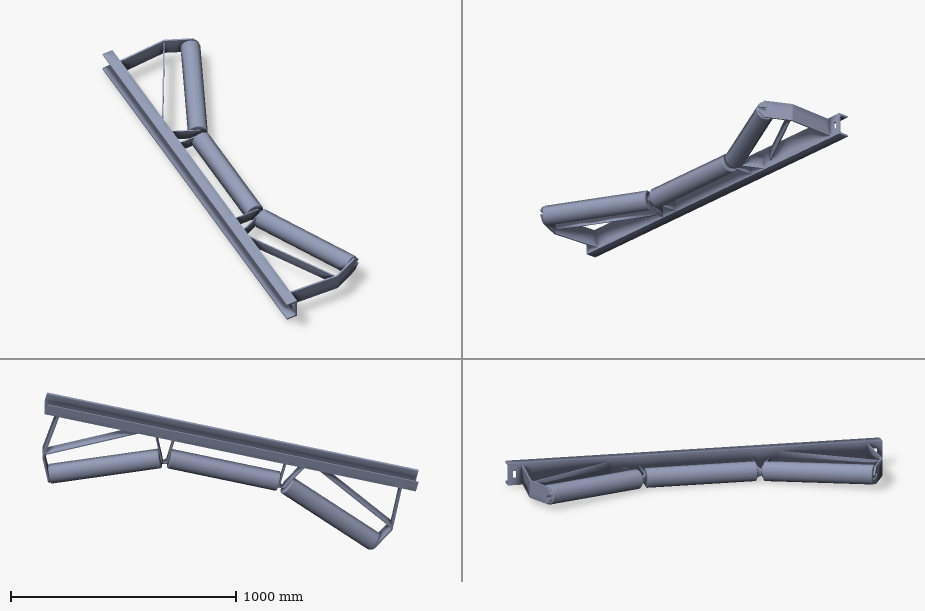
import cadquery as cq
import math


CHANNEL_LENGTH = 1700.0
CHANNEL_HEIGHT = 100.0
CHANNEL_DEPTH = 51.0
WEB_THICKNESS = 7.0
FLANGE_THICKNESS = 8.0
ROOT_RADIUS = 8.0
TOE_RADIUS = 5.0
BOLT_SLOT_X = 820.0
BOLT_SLOT_WIDTH = 17.0
BOLT_SLOT_HEIGHT = 32.0

DRUM_LENGTH = 500.0
DRUM_DIAMETER = 88.0
DRUM_EDGE_RADIUS = 5.0
SHAFT_DIAMETER = 15.0
END_GAP = 3.0
CENTER_AXIS_Y = 115.0
INNER_AXIS_Z = -19.0
TROUGH_ANGLE = 25.0
FORWARD_TILT = 2.0
WING_AXIS_ALONG_LEG = 135.0

INNER_PLATE = 5.0
INNER_WIDTH = 51.0
INNER_FOOT_X = 340.0
INNER_LEG_LENGTH = 156.0
INNER_TIP_CHAMFER = 14.0

OUTER_PLATE = 7.6
OUTER_WIDTH = 80.0
OUTER_FOOT_X = 784.0
OUTER_TIP_Y = 374.0
OUTER_TIP_CHAMFER = 27.0
KNEE_Y = 233.0
KNEE_RADIUS = 20.0

BRACE_PLATE = 6.0
BRACE_WIDTH = 51.0
BRACE_CENTER_Z = 5.0
BRACE_FOOT_X = 388.0

TROUGH_RADIANS = math.radians(TROUGH_ANGLE)
SIN_TROUGH = math.sin(TROUGH_RADIANS)
COS_TROUGH = math.cos(TROUGH_RADIANS)
WING_FRAME = cq.Plane(
    origin=(INNER_FOOT_X, 0, 0),
    xDir=(-SIN_TROUGH, COS_TROUGH, 0),
    normal=(COS_TROUGH, SIN_TROUGH, 0),
)

TILT_RADIANS = math.radians(FORWARD_TILT)
WING_ROLLER_FRAME = cq.Plane(
    origin=WING_FRAME.toWorldCoords((WING_AXIS_ALONG_LEG, INNER_AXIS_Z, INNER_PLATE / 2 + END_GAP)),
    xDir=WING_FRAME.xDir,
    normal=WING_FRAME.zDir * math.cos(TILT_RADIANS) + WING_FRAME.yDir * math.sin(TILT_RADIANS),
)

CENTER_LEG_X = DRUM_LENGTH / 2 + END_GAP + INNER_PLATE / 2
OUTER_PLATE_OFFSET = INNER_PLATE / 2 + 2 * END_GAP + DRUM_LENGTH + OUTER_PLATE / 2


def wing_point(along_leg, outward):
    """Global (x, y) of a point given in the wing frame."""
    point = WING_FRAME.toWorldCoords((along_leg, 0, outward))
    return point.x, point.y


def outer_plate_point(height):
    """Global (x, y) of the point of the outer plate's mid-plane at the given Y."""
    along_plate = (height - OUTER_PLATE_OFFSET * SIN_TROUGH) / COS_TROUGH
    return wing_point(along_plate, OUTER_PLATE_OFFSET)


KNEE = outer_plate_point(KNEE_Y)


def point_below_face(foot_x, upper_point, depth):
    """Extend the line from upper_point through (foot_x, 0) to the given depth below the face."""
    x, y = upper_point
    return foot_x - (x - foot_x) * depth / y, -depth


def folded_strip(path, thickness, width, center_z=0):
    """Strip whose centreline in XY follows path, with mitred folds; its width is along Z."""
    directions = []
    for (x0, y0), (x1, y1) in zip(path, path[1:]):
        length = math.hypot(x1 - x0, y1 - y0)
        directions.append(((x1 - x0) / length, (y1 - y0) / length))
    incoming = [directions[0]] + directions
    outgoing = directions + [directions[-1]]
    left_side = []
    right_side = []
    for (x, y), (ax, ay), (bx, by) in zip(path, incoming, outgoing):
        mitre = thickness / 2 / (1 + ax * bx + ay * by)
        shift_x = -(ay + by) * mitre
        shift_y = (ax + bx) * mitre
        left_side.append((x + shift_x, y + shift_y))
        right_side.append((x - shift_x, y - shift_y))
    outline = cq.Workplane("XY", origin=(0, 0, center_z)).polyline(left_side + right_side[::-1]).close()
    return outline.extrude(width / 2, both=True)


def trim_at_channel(body):
    """Cut off whatever lies below the mounting face of the channel."""
    below = cq.Workplane("XY").box(CHANNEL_LENGTH, CHANNEL_DEPTH, CHANNEL_HEIGHT)
    return body.cut(below.translate((0, -CHANNEL_DEPTH / 2, 0)))


def chamfer_tip(body, plane, tip, width, chamfer, reach):
    """Cut both corners off a strip that ends at x = tip of the plane and is centred on its x axis."""
    for side in (1, -1):
        edge = side * width / 2
        corner = (
            cq.Workplane(plane)
            .polyline([
                (tip - chamfer, edge),
                (tip + chamfer, edge),
                (tip + chamfer, edge - side * 2 * chamfer),
            ])
            .close()
            .extrude(reach, both=True)
        )
        body = body.cut(corner)
    return body


def make_channel():
    half = CHANNEL_HEIGHT / 2
    inner = half - FLANGE_THICKNESS
    half_length = CHANNEL_LENGTH / 2
    channel = (
        cq.Workplane("YZ")
        .polyline([
            (0, -half), (0, half),
            (-CHANNEL_DEPTH, half), (-CHANNEL_DEPTH, inner),
            (-WEB_THICKNESS, inner), (-WEB_THICKNESS, -inner),
            (-CHANNEL_DEPTH, -inner), (-CHANNEL_DEPTH, -half),
        ])
        .close()
        .extrude(half_length, both=True)
    )

    for edge_y, radius in ((-WEB_THICKNESS, ROOT_RADIUS), (-CHANNEL_DEPTH, TOE_RADIUS)):
        for edge_z in (inner, -inner):
            edge = cq.selectors.NearestToPointSelector((0, edge_y, edge_z))
            channel = channel.edges("|X").edges(edge).fillet(radius)

    bolt_slots = (
        cq.Workplane("XZ")
        .pushPoints([(-BOLT_SLOT_X, 0), (BOLT_SLOT_X, 0)])
        .rect(BOLT_SLOT_WIDTH, BOLT_SLOT_HEIGHT)
        .extrude(WEB_THICKNESS)
    )
    return channel.cut(bolt_slots)


def make_roller(frame, inner_plate, outer_plate):
    """Drum and shaft in one; the drum starts at the frame origin, the shaft ends pass through the plates."""
    inner_reach = END_GAP + inner_plate
    outer_reach = END_GAP + outer_plate
    drum = cq.Workplane(frame).circle(DRUM_DIAMETER / 2).extrude(DRUM_LENGTH)
    drum = drum.edges("%CIRCLE").fillet(DRUM_EDGE_RADIUS)
    shaft = (
        cq.Workplane(frame)
        .workplane(offset=-inner_reach)
        .circle(SHAFT_DIAMETER / 2)
        .extrude(inner_reach + DRUM_LENGTH + outer_reach)
    )
    return drum.union(shaft)


def make_center_roller():
    frame = cq.Plane(
        origin=(-DRUM_LENGTH / 2, CENTER_AXIS_Y, INNER_AXIS_Z),
        xDir=(0, 0, 1),
        normal=(1, 0, 0),
    )
    return make_roller(frame, INNER_PLATE, INNER_PLATE)


def make_inner_bracket(center_roller, wing_roller):
    """Folded strip with an upright leg at the centre roller and a slanted leg at the wing roller."""
    apex_x, apex_y = wing_point(INNER_LEG_LENGTH, 0)
    shoulder_y = apex_y - (apex_x - CENTER_LEG_X) * math.tan(TROUGH_RADIANS)
    path = [
        wing_point(-INNER_PLATE, 0),
        (apex_x, apex_y),
        (CENTER_LEG_X, shoulder_y),
        (CENTER_LEG_X, 0),
    ]
    bracket = trim_at_channel(folded_strip(path, INNER_PLATE, INNER_WIDTH, INNER_AXIS_Z))
    tip_plane = cq.Plane(origin=(INNER_FOOT_X, 0, INNER_AXIS_Z), xDir=(0, 1, 0), normal=(1, 0, 0))
    bracket = chamfer_tip(bracket, tip_plane, apex_y, INNER_WIDTH, INNER_TIP_CHAMFER, INNER_FOOT_X)
    return bracket.cut(center_roller).cut(wing_roller)


def make_outer_bracket(wing_roller):
    """Post bent at a knee, so that its upper part stands square to the wing."""
    tip = outer_plate_point(OUTER_TIP_Y)
    foot = point_below_face(OUTER_FOOT_X, KNEE, OUTER_PLATE)
    bracket = trim_at_channel(folded_strip([foot, KNEE, tip], OUTER_PLATE, OUTER_WIDTH))

    knee_x, knee_y = KNEE
    for shift, radius in ((OUTER_PLATE, KNEE_RADIUS), (-OUTER_PLATE, KNEE_RADIUS - OUTER_PLATE)):
        edge = cq.selectors.NearestToPointSelector((knee_x + shift, knee_y, 0))
        bracket = bracket.edges("|Z").edges(edge).fillet(radius)

    tip_along_plate = WING_FRAME.toLocalCoords(cq.Vector(*tip, 0)).x
    tip_plane = cq.Plane(
        origin=WING_FRAME.toWorldCoords((0, 0, OUTER_PLATE_OFFSET)),
        xDir=WING_FRAME.xDir,
        normal=WING_FRAME.zDir,
    )
    bracket = chamfer_tip(
        bracket, tip_plane, tip_along_plate, OUTER_WIDTH, OUTER_TIP_CHAMFER, OUTER_PLATE
    )

    slot_length = 2 * (tip_along_plate - WING_AXIS_ALONG_LEG)
    slot = (
        cq.Workplane(WING_ROLLER_FRAME)
        .workplane(offset=DRUM_LENGTH)
        .center(slot_length / 2, 0)
        .rect(slot_length, SHAFT_DIAMETER)
        .extrude(END_GAP + 2 * OUTER_PLATE)
    )
    return bracket.cut(slot).cut(wing_roller)


def make_brace(outer_bracket):
    """Diagonal strip from the knee of the outer bracket down to the channel."""
    foot = point_below_face(BRACE_FOOT_X, KNEE, BRACE_PLATE)
    brace = folded_strip([KNEE, foot], BRACE_PLATE, BRACE_WIDTH, BRACE_CENTER_Z)
    return trim_at_channel(brace).cut(outer_bracket)


channel = make_channel()
center_roller = make_center_roller()
wing_roller = make_roller(WING_ROLLER_FRAME, INNER_PLATE, OUTER_PLATE)
inner_bracket = make_inner_bracket(center_roller, wing_roller)
outer_bracket = make_outer_bracket(wing_roller)
brace = make_brace(outer_bracket)

bodies = [channel.solids().val(), center_roller.solids().val()]
for side_body in (wing_roller, inner_bracket, outer_bracket, brace):
    bodies.append(side_body.solids().val())
    bodies.append(side_body.mirror("YZ").solids().val())

result = cq.Compound.makeCompound(bodies)